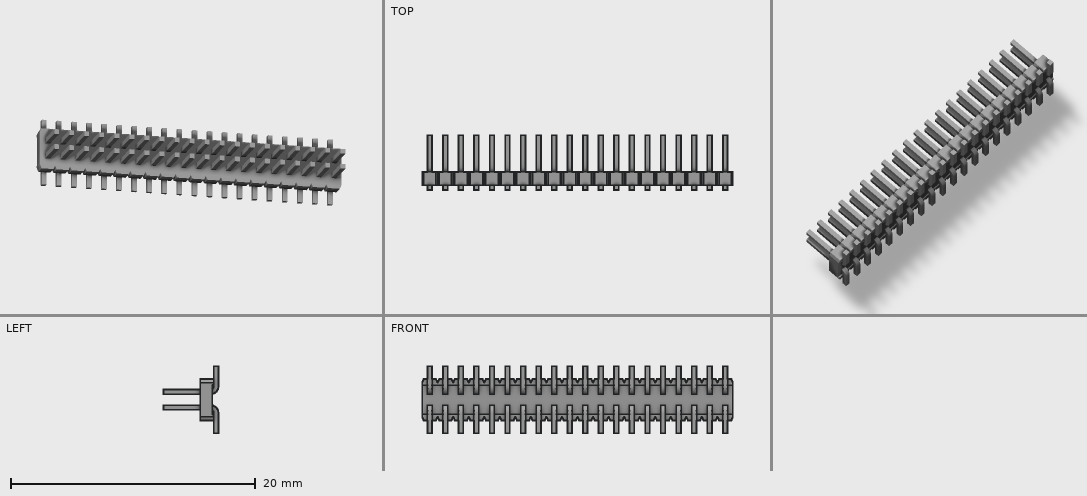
import cadquery as cq
import math


pin_count = 20
pitch = 1.27
row_offset = pitch / 2

pin_width = 0.4
mating_length = 3.0
tail_span = 5.5
tail_end = tail_span / 2
inner_bend_radius = 0.27
outer_bend_radius = inner_bend_radius + pin_width
embed_depth = 0.3

body_length = pin_count * pitch
body_height = 3.4
body_depth = 1.1
body_front = pin_width
body_back = body_front + body_depth
notch_depth = 0.3
tooth_width = 1.0
channel_depth = 0.1
channel_height = 2.4


def column_x(index):
    """X position of a pin column, with the columns centred on X = 0."""
    return (index - (pin_count - 1) / 2) * pitch


def make_body():
    """Bar with V notches between the pin columns and a shallow channel along its front."""
    top = body_height / 2
    notch_bottom = top - notch_depth
    upper_edge = [(-body_length / 2, notch_bottom)]
    for index in range(pin_count):
        x = column_x(index)
        upper_edge.append((x - tooth_width / 2, top))
        upper_edge.append((x + tooth_width / 2, top))
        upper_edge.append((x + pitch / 2, notch_bottom))
    lower_edge = [(x, -z) for x, z in reversed(upper_edge)]

    body = (
        cq.Workplane("XZ", origin=(0, body_front, 0))
        .polyline(upper_edge + lower_edge)
        .close()
        .extrude(-body_depth)
    )
    channel = cq.Workplane("XY").box(body_length, channel_depth, channel_height)
    return body.cut(channel.translate((0, body_front + channel_depth / 2, 0)))


def make_upper_pin():
    """Pin at X = 0: a straight mating post and a tail bent upward at a right angle."""
    post = (
        cq.Workplane("XZ", origin=(0, body_back - embed_depth, row_offset))
        .rect(pin_width, pin_width)
        .extrude(-(mating_length + embed_depth))
    )

    bend_start = row_offset + pin_width / 2 + inner_bend_radius
    diagonal = math.sqrt(0.5)

    def bend_middle(radius):
        return (outer_bend_radius - radius * diagonal, bend_start - radius * diagonal)

    tail = (
        cq.Workplane("YZ", origin=(-pin_width / 2, 0, 0))
        .moveTo(0, tail_end)
        .lineTo(0, bend_start)
        .threePointArc(bend_middle(outer_bend_radius), (outer_bend_radius, row_offset - pin_width / 2))
        .lineTo(outer_bend_radius, row_offset + pin_width / 2)
        .threePointArc(bend_middle(inner_bend_radius), (pin_width, bend_start))
        .lineTo(pin_width, tail_end)
        .close()
        .extrude(pin_width)
    )
    return [post.val(), tail.val()]


def make_pins():
    """All posts and tails: the upper row and its mirror image below."""
    pieces = []
    for piece in make_upper_pin():
        lower_piece = piece.mirror("XY")
        for index in range(pin_count):
            shift = cq.Vector(column_x(index), 0, 0)
            pieces.append(piece.translate(shift))
            pieces.append(lower_piece.translate(shift))
    return pieces


result = cq.Workplane("XY").newObject([make_body().val().fuse(*make_pins())])